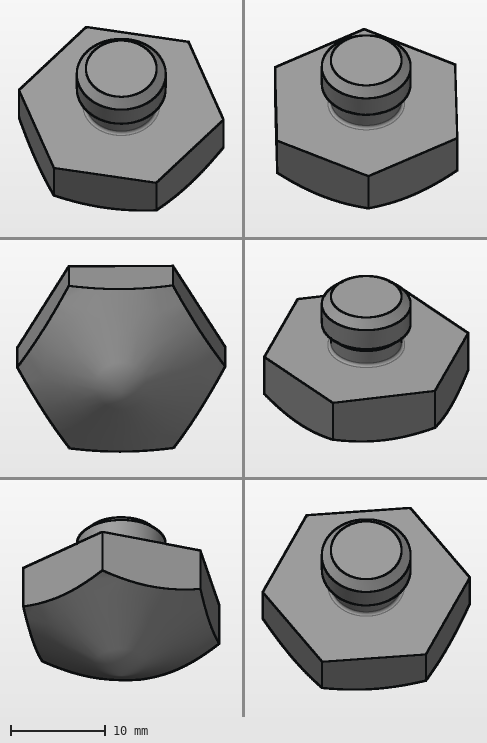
import cadquery as cq
import math

across_corners = 22.0
corner_radius = across_corners / 2
total_height = 17.5
stud_height = 6.31
point_half_angle = 60.0

head_radius = 4.7
neck_radius = 3.75
head_chamfer = head_radius - neck_radius
head_land = 2.46
root_fillet = 0.33

shoulder_z = total_height - stud_height
cone_height = corner_radius / math.tan(math.radians(point_half_angle))


def pointed_hexagon():
    """Hexagonal prism, corners on the Y axis, trimmed to a cone with its tip at the origin."""
    prism = (
        cq.Workplane("XY")
        .polygon(6, across_corners)
        .extrude(shoulder_z)
        .rotate((0, 0, 0), (0, 0, 1), 90)
    )
    pointed_blank = (
        cq.Workplane("XZ")
        .lineTo(corner_radius, cone_height)
        .lineTo(corner_radius, shoulder_z)
        .lineTo(0, shoulder_z)
        .close()
        .revolve(360, (0, 0, 0), (0, 1, 0))
    )
    return prism.intersect(pointed_blank)


def stud():
    """Turned stud with a concave fillet where the neck meets the body."""
    head_top_z = total_height - head_chamfer
    head_bottom_z = head_top_z - head_land
    fillet_mid = root_fillet * (1 - math.sqrt(0.5))
    return (
        cq.Workplane("XZ")
        .moveTo(0, shoulder_z)
        .lineTo(neck_radius + root_fillet, shoulder_z)
        .threePointArc(
            (neck_radius + fillet_mid, shoulder_z + fillet_mid),
            (neck_radius, shoulder_z + root_fillet),
        )
        .lineTo(neck_radius, head_bottom_z - head_chamfer)
        .lineTo(head_radius, head_bottom_z)
        .lineTo(head_radius, head_top_z)
        .lineTo(neck_radius, total_height)
        .lineTo(0, total_height)
        .close()
        .revolve(360, (0, 0, 0), (0, 1, 0))
    )


result = pointed_hexagon().union(stud())